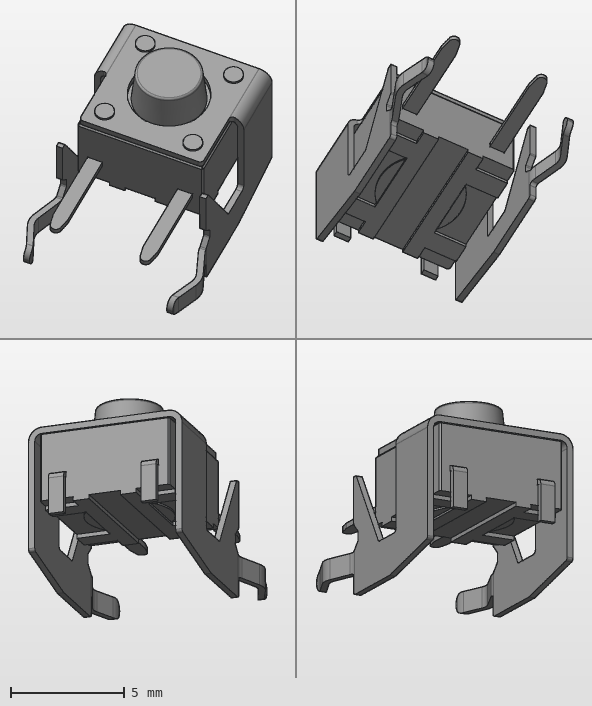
import cadquery as cq
import math


HOUSING_SIDE = 6.14
HOUSING_TOP = 3.4
HOUSING_CHAMFER = 0.08
FOOT_HEIGHT = 0.19
RIB_INNER_X = 0.74
RIB_OUTER_X = 1.49
FOOT_INNER_Y = 1.49
FOOT_OUTER_Y = 2.4
PAD_RADIUS = 2.02
PAD_BOTTOM = 0.105

BUTTON_TOP = 5.14
BUTTON_BASE_RADIUS = 1.68
BUTTON_TOP_RADIUS = 1.5
BUTTON_FILLET = 0.1

RIVET_RADIUS = 0.44
RIVET_PITCH = 4.3
RIVET_PROUD = 0.1

SHEET = 0.3
COVER_SIDE = 6.0
COVER_TOP = HOUSING_TOP + SHEET
COVER_HOLE_RADIUS = 1.85
COVER_CORNER_RADIUS = 0.2
COVER_BEND_RADIUS = 0.64
LEG_OUTER_X = COVER_SIDE / 2 + COVER_BEND_RADIUS
LEG_MID_X = LEG_OUTER_X - SHEET / 2
LEG_BACK_Y = COVER_SIDE / 2
LEG_FRONT_Y = -4.01
LEG_BOTTOM = -2.83
LEG_BACK_BOTTOM = -2.08
LEG_SLOPE_END_Y = -0.59
WINDOW_FLOOR = -0.98
WINDOW_FRONT_Y = -1.64
HOOK_TOP = 2.645
HOOK_TIP_Y = -3.76
NOTCH_Y = -3.59
NOTCH_DEPTH = NOTCH_Y - LEG_FRONT_Y
NOTCH_TOP = 0.03
NOTCH_BOTTOM = -0.42
CORNER_FILLET = 0.15
WINDOW_FILLET = 0.2
EDGE_FILLET = 0.1

ARM_TOP = NOTCH_BOTTOM - NOTCH_DEPTH
ARM_BOTTOM = ARM_TOP - 0.98
ARM_TIP_Y = -7.51
ARM_TIP_RADIUS = 0.48
ARM_BULGE = 4.185 - LEG_OUTER_X
ARM_BEND_Y = -3.93
ARM_OUT_ANGLE = math.radians(21)
ARM_BACK_ANGLE = math.radians(22.5)
ARM_ROOT_RADIUS = 1.03
ARM_APEX_RADIUS = 0.83
ARM_END_RADIUS = 1.0

PIN_PITCH = 4.38
PIN_WIDTH = 0.72
PIN_TOP = 1.41
PIN_THICKNESS = 0.25
PIN_BACK_Y = 3.37
PIN_TAIL_BOTTOM = -0.57
PIN_BEND_RADIUS = 0.3
PIN_TAPER_Y = -6.72
PIN_NOSE_Y = -7.28
PIN_NOSE_WIDTH = 0.5
PIN_TIP_Y = -7.47


def block(x_range, y_range, z_range):
    """Axis-aligned box between the given limits."""
    size = [high - low for low, high in (x_range, y_range, z_range)]
    corner = (x_range[0], y_range[0], z_range[0])
    return cq.Workplane("XY").box(*size, centered=False).translate(corner)


def upright_cylinder(radius, bottom, top):
    return cq.Workplane("XY").workplane(offset=bottom).circle(radius).extrude(top - bottom)


def make_pin(x):
    left = x - PIN_WIDTH / 2
    side = (
        cq.Workplane("YZ", origin=(left, 0, 0))
        .moveTo(PIN_TIP_Y, PIN_TOP)
        .lineTo(PIN_BACK_Y, PIN_TOP)
        .lineTo(PIN_BACK_Y, PIN_TAIL_BOTTOM)
        .lineTo(PIN_BACK_Y - PIN_THICKNESS, PIN_TAIL_BOTTOM)
        .lineTo(PIN_BACK_Y - PIN_THICKNESS, PIN_TOP - PIN_THICKNESS)
        .lineTo(PIN_TIP_Y, PIN_TOP - PIN_THICKNESS)
        .close()
        .extrude(PIN_WIDTH)
        .edges("|X and >Y and >Z")
        .fillet(PIN_BEND_RADIUS)
    )
    plan = (
        cq.Workplane("XY", origin=(x, 0, PIN_TAIL_BOTTOM))
        .moveTo(-PIN_WIDTH / 2, PIN_BACK_Y)
        .lineTo(-PIN_WIDTH / 2, PIN_TAPER_Y)
        .lineTo(-PIN_NOSE_WIDTH / 2, PIN_NOSE_Y)
        .threePointArc((0, PIN_TIP_Y), (PIN_NOSE_WIDTH / 2, PIN_NOSE_Y))
        .lineTo(PIN_WIDTH / 2, PIN_TAPER_Y)
        .lineTo(PIN_WIDTH / 2, PIN_BACK_Y)
        .close()
        .extrude(PIN_TOP - PIN_TAIL_BOTTOM)
    )
    return side.intersect(plan)


def make_feet():
    """Two full-length ribs, four side feet and a shallow round pad split by the middle channel."""
    half = HOUSING_SIDE / 2
    height = (0, FOOT_HEIGHT)
    rib = block((RIB_INNER_X, RIB_OUTER_X), (-half, half), height)
    front_foot = block((RIB_OUTER_X, half), (-FOOT_OUTER_Y, -FOOT_INNER_Y), height)
    pad = upright_cylinder(PAD_RADIUS, PAD_BOTTOM, FOOT_HEIGHT).intersect(
        block((RIB_INNER_X, half), (-half, half), height)
    )
    one_side = rib.union(front_foot).union(front_foot.mirror("XZ")).union(pad)
    return one_side.union(one_side.mirror("YZ"))


def make_button():
    return (
        cq.Workplane("XZ")
        .moveTo(0, HOUSING_TOP)
        .lineTo(BUTTON_BASE_RADIUS, HOUSING_TOP)
        .lineTo(BUTTON_TOP_RADIUS, BUTTON_TOP)
        .lineTo(0, BUTTON_TOP)
        .close()
        .revolve(360, (0, 0), (0, 1))
        .faces(">Z")
        .edges()
        .fillet(BUTTON_FILLET)
    )


def make_rivets():
    return (
        cq.Workplane("XY", origin=(0, 0, HOUSING_TOP))
        .rect(RIVET_PITCH, RIVET_PITCH, forConstruction=True)
        .vertices()
        .circle(RIVET_RADIUS)
        .extrude(SHEET + RIVET_PROUD)
    )


def make_housing(pins):
    half = HOUSING_SIDE / 2
    body = (
        block((-half, half), (-half, half), (FOOT_HEIGHT, HOUSING_TOP))
        .edges("|Z or >Z")
        .chamfer(HOUSING_CHAMFER)
    )
    body = body.union(make_feet()).union(make_button()).union(make_rivets())
    for pin in pins:
        body = body.cut(pin)
    return body


def make_leg_outline():
    """Side outline of a leg and its spring arm, thick enough to contain the bent sheet."""
    bend_start_z = COVER_TOP - COVER_BEND_RADIUS
    outline = (
        cq.Workplane("YZ")
        .moveTo(LEG_BACK_Y, bend_start_z)
        .lineTo(LEG_BACK_Y, LEG_BACK_BOTTOM)
        .lineTo(LEG_SLOPE_END_Y, LEG_BOTTOM)
        .lineTo(LEG_FRONT_Y, LEG_BOTTOM)
        .lineTo(LEG_FRONT_Y, ARM_BOTTOM)
        .lineTo(ARM_TIP_Y, ARM_BOTTOM)
        .lineTo(ARM_TIP_Y, ARM_TOP)
        .lineTo(LEG_FRONT_Y, ARM_TOP)
        .lineTo(NOTCH_Y, NOTCH_BOTTOM)
        .lineTo(NOTCH_Y, NOTCH_TOP)
        .lineTo(LEG_FRONT_Y, NOTCH_TOP + NOTCH_DEPTH)
        .lineTo(LEG_FRONT_Y, HOOK_TOP)
        .lineTo(HOOK_TIP_Y, HOOK_TOP)
        .lineTo(WINDOW_FRONT_Y, WINDOW_FLOOR)
        .lineTo(0, WINDOW_FLOOR)
        .lineTo(0, bend_start_z)
        .close()
        .extrude(LEG_OUTER_X + ARM_BULGE)
    )

    def round_corners(shape, radius, corners):
        for y, z in corners:
            nearest = cq.selectors.NearestToPointSelector((LEG_OUTER_X / 2, y, z))
            shape = shape.edges("|X").edges(nearest).fillet(radius)
        return shape

    outline = round_corners(outline, ARM_TIP_RADIUS, [(ARM_TIP_Y, ARM_TOP), (ARM_TIP_Y, ARM_BOTTOM)])
    outline = round_corners(outline, WINDOW_FILLET, [(0, WINDOW_FLOOR)])
    outline = round_corners(
        outline,
        CORNER_FILLET,
        [(LEG_BACK_Y, LEG_BACK_BOTTOM), (LEG_FRONT_Y, LEG_BOTTOM), (LEG_FRONT_Y, ARM_BOTTOM)],
    )
    return round_corners(
        outline,
        EDGE_FILLET,
        [
            (HOOK_TIP_Y, HOOK_TOP),
            (WINDOW_FRONT_Y, WINDOW_FLOOR),
            (NOTCH_Y, NOTCH_TOP),
            (NOTCH_Y, NOTCH_BOTTOM),
            (LEG_FRONT_Y, NOTCH_TOP + NOTCH_DEPTH),
            (LEG_FRONT_Y, ARM_TOP),
        ],
    )


def straight_length(angle, first_radius, second_radius):
    """Length of the slanted run between two bends that shifts the sheet by ARM_BULGE."""
    bend_shift = (first_radius + second_radius) * (1 - math.cos(angle))
    return (ARM_BULGE - bend_shift) / math.sin(angle)


def make_leg_strip():
    """Sheet following the leg and the outward bulge of its spring arm, below the notch, flat above it."""
    out_run = straight_length(ARM_OUT_ANGLE, ARM_ROOT_RADIUS, ARM_APEX_RADIUS)
    back_run = straight_length(ARM_BACK_ANGLE, ARM_APEX_RADIUS, ARM_END_RADIUS)

    def bend_step(radius, angle):
        return radius * (1 - math.cos(angle)), -radius * math.sin(angle)

    def slant_step(run, angle):
        return run * math.sin(angle), -run * math.cos(angle)

    root_x, root_y = bend_step(ARM_ROOT_RADIUS, ARM_OUT_ANGLE)
    out_x, out_y = slant_step(out_run, ARM_OUT_ANGLE)
    rise_x, rise_y = bend_step(ARM_APEX_RADIUS, ARM_OUT_ANGLE)
    fall_x, fall_y = bend_step(ARM_APEX_RADIUS, ARM_BACK_ANGLE)
    back_x, back_y = slant_step(back_run, ARM_BACK_ANGLE)
    end_x, end_y = bend_step(ARM_END_RADIUS, ARM_BACK_ANGLE)
    end_bend_y = ARM_BEND_Y + root_y + out_y + rise_y + fall_y + back_y + end_y

    path = (
        cq.Workplane("XY", origin=(LEG_MID_X, LEG_BACK_Y, 0))
        .lineTo(0, ARM_BEND_Y - LEG_BACK_Y)
        .tangentArcPoint((root_x, root_y))
        .line(out_x, out_y)
        .tangentArcPoint((rise_x, rise_y))
        .tangentArcPoint((-fall_x, fall_y))
        .line(-back_x, back_y)
        .tangentArcPoint((-end_x, end_y))
        .line(0, ARM_TIP_Y - end_bend_y)
    )
    bent_height = NOTCH_BOTTOM - LEG_BOTTOM
    bent_strip = (
        cq.Workplane("XZ", origin=(LEG_MID_X, LEG_BACK_Y, 0))
        .center(0, LEG_BOTTOM + bent_height / 2)
        .rect(SHEET, bent_height)
        .sweep(path)
    )
    flat_sheet = block(
        (LEG_OUTER_X - SHEET, LEG_OUTER_X), (LEG_FRONT_Y, LEG_BACK_Y), (NOTCH_BOTTOM, COVER_TOP)
    )
    return bent_strip.union(flat_sheet)


def make_bend():
    """Quarter bend joining the plate to a leg, with a concave relief at its front corner."""
    edge_x = COVER_SIDE / 2
    relief = COVER_CORNER_RADIUS
    axis_z = COVER_TOP - COVER_BEND_RADIUS
    inner_radius = COVER_BEND_RADIUS - SHEET
    diagonal = math.sqrt(0.5)
    bend = (
        cq.Workplane("XZ", origin=(edge_x, LEG_BACK_Y, axis_z))
        .moveTo(0, COVER_BEND_RADIUS)
        .threePointArc(
            (COVER_BEND_RADIUS * diagonal, COVER_BEND_RADIUS * diagonal), (COVER_BEND_RADIUS, 0)
        )
        .lineTo(inner_radius, 0)
        .threePointArc((inner_radius * diagonal, inner_radius * diagonal), (0, inner_radius))
        .close()
        .extrude(LEG_BACK_Y + relief)
    )
    plan = (
        cq.Workplane("XY", origin=(0, 0, axis_z))
        .moveTo(edge_x, LEG_BACK_Y)
        .lineTo(LEG_OUTER_X, LEG_BACK_Y)
        .lineTo(LEG_OUTER_X, 0)
        .lineTo(edge_x + relief, 0)
        .radiusArc((edge_x, -relief), -relief)
        .close()
        .extrude(COVER_BEND_RADIUS)
    )
    return bend.intersect(plan)


def make_cover():
    half = COVER_SIDE / 2
    plate = (
        block((-half, half), (-half, half), (HOUSING_TOP, COVER_TOP))
        .edges("|Z and <Y")
        .fillet(COVER_CORNER_RADIUS)
        .cut(upright_cylinder(COVER_HOLE_RADIUS, HOUSING_TOP, COVER_TOP))
        .cut(make_rivets())
    )
    side = make_leg_strip().intersect(make_leg_outline()).union(make_bend())
    return plate.union(side).union(side.mirror("YZ"))


pins = [make_pin(side * PIN_PITCH / 2) for side in (-1, 1)]
housing = make_housing(pins)
cover = make_cover()

result = cq.Compound.makeCompound([housing.val(), cover.val(), *[pin.val() for pin in pins]])